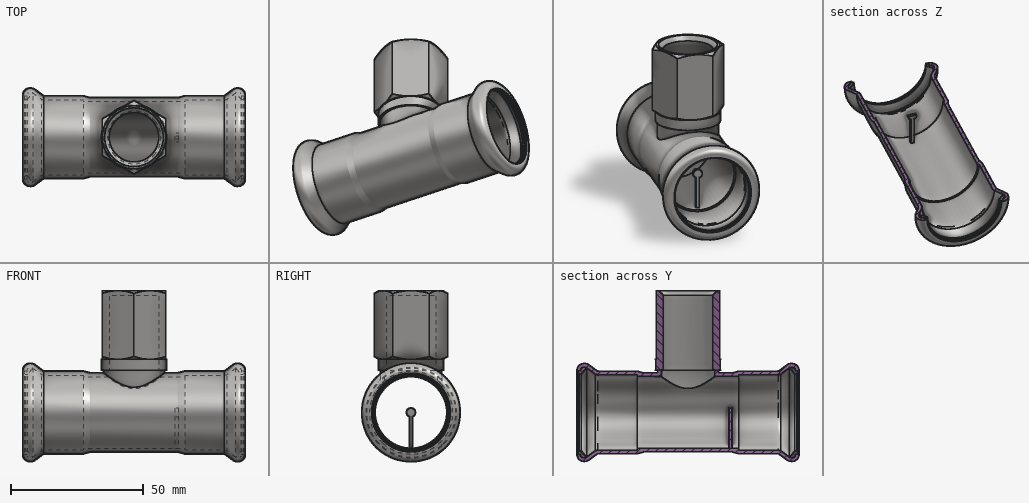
import cadquery as cq
import math

length = 84.0
run_diameter = 30.0
run_bore = 27.0
socket_diameter = 31.3
socket_bore = 28.2
taper_inner_x = 16.6
taper_outer_x = 19.15

bead_start_x = 34.1
bead_radius = 2.9
flare_bore = 28.8
lip_bore = 29.7
lip_thickness = 0.7

seal_land_start_depth = 1.0
seal_land_end_depth = 1.7
seal_bore = 28.8

stub_diameter = 23.2
stub_bore = 20.0
fitting_bottom = 16.0
hex_bottom = 20.0
fitting_top = 45.95
collar_diameter = 24.6
hex_across_flats = 24.0
hex_chamfer_diameter = 23.85
hex_chamfer_height = 1.1
fitting_bore = 18.65
mouth_diameter = 22.1

tab_head_diameter = 3.45
tab_width = 1.3
tab_thickness = 1.3

half_length = length / 2
socket_radius = socket_diameter / 2
bore_radius = socket_bore / 2
flare_radius = flare_bore / 2
seal_radius = seal_bore / 2
wall = socket_radius - bore_radius
bead_x = half_length - bead_radius
bead_r = socket_radius
groove_radius = bead_radius - wall
lip_radius = lip_bore / 2
lip_inner_x = half_length - lip_thickness
flare_angle = math.asin(bead_radius / (bead_x - bead_start_x))
hex_corner_diameter = hex_across_flats / math.cos(math.pi / 6)


def bead_point(radius, angle):
    """Point in the (x, r) half-plane on a circle around the bead centre."""
    return bead_x + radius * math.cos(angle), bead_r + radius * math.sin(angle)


flare_tangent = math.pi / 2 + flare_angle
outer_tangent = bead_point(bead_radius, flare_tangent)
outer_mid = bead_point(bead_radius, flare_tangent / 2)
inner_tangent = bead_point(groove_radius, flare_tangent)
groove_start = bead_point(groove_radius, 0)
inner_mid = bead_point(groove_radius, flare_tangent / 2)

inner_flare_x = inner_tangent[0] - (inner_tangent[1] - flare_radius) / math.tan(flare_angle)


def revolve_about_x(profile):
    return profile.close().revolve(360, (0, 0, 0), (1, 0, 0))


def cylinder_along_run(diameter):
    """Cylinder on the X axis spanning the plain middle of the run."""
    start = cq.Workplane("YZ").workplane(offset=-taper_inner_x)
    return start.circle(diameter / 2).extrude(2 * taper_inner_x)


def make_run_end():
    """The +X end of the run: taper, socket, flare and hollow bead."""
    profile = (
        cq.Workplane("XY")
        .moveTo(taper_inner_x, run_bore / 2)
        .lineTo(taper_inner_x, run_diameter / 2)
        .lineTo(taper_outer_x, socket_radius)
        .lineTo(bead_start_x, socket_radius)
        .lineTo(*outer_tangent)
        .threePointArc(outer_mid, (half_length, bead_r))
        .lineTo(half_length, lip_radius)
        .lineTo(lip_inner_x, lip_radius)
        .lineTo(lip_inner_x, bead_r)
        .lineTo(*groove_start)
        .threePointArc(inner_mid, inner_tangent)
        .lineTo(inner_flare_x, flare_radius)
        .lineTo(bead_start_x, bore_radius)
        .lineTo(taper_outer_x, bore_radius)
        .lineTo(taper_outer_x, run_bore / 2)
    )
    return revolve_about_x(profile)


def make_tab():
    """Thin tab at the +X end of the run bore, with its head on the axis."""
    start = cq.Workplane("YZ").workplane(offset=taper_inner_x - tab_thickness)
    head = start.circle(tab_head_diameter / 2).extrude(tab_thickness)
    stem_length = (run_bore + run_diameter) / 4
    stem = start.center(0, -stem_length / 2).rect(tab_width, stem_length).extrude(tab_thickness)
    return head.union(stem)


def make_tee():
    middle_bore = cylinder_along_run(run_bore)
    stub = cq.Workplane("XY").circle(stub_diameter / 2).extrude(fitting_bottom)
    middle = cylinder_along_run(run_diameter).union(stub).cut(middle_bore)
    run_end = make_run_end()
    run = middle.union(run_end).union(run_end.mirror("YZ"))
    stub_cavity = cq.Workplane("XY").circle(stub_bore / 2).extrude(fitting_bottom)
    return run.cut(stub_cavity).union(make_tab())


def make_seal():
    """Ring seated in the groove of the +X bead, sloping away behind its land."""
    profile = (
        cq.Workplane("XY")
        .moveTo(*inner_tangent)
        .threePointArc(inner_mid, groove_start)
        .lineTo(lip_inner_x, bead_r)
        .lineTo(lip_inner_x, lip_radius)
        .lineTo(half_length - seal_land_start_depth, seal_radius)
        .lineTo(half_length - seal_land_end_depth, seal_radius)
    )
    return revolve_about_x(profile)


def make_fitting():
    """Hexagon with both ends chamfered, a round collar below and a countersunk bore."""
    hexagon = (
        cq.Workplane("XY", origin=(0, 0, hex_bottom))
        .transformed(rotate=(0, 0, 30))
        .polygon(6, hex_corner_diameter)
        .extrude(fitting_top - hex_bottom)
    )
    chamfer_envelope = (
        cq.Workplane("XZ")
        .moveTo(0, hex_bottom)
        .lineTo(hex_chamfer_diameter / 2, hex_bottom)
        .lineTo(hex_corner_diameter / 2, hex_bottom + hex_chamfer_height)
        .lineTo(hex_corner_diameter / 2, fitting_top - hex_chamfer_height)
        .lineTo(hex_chamfer_diameter / 2, fitting_top)
        .lineTo(0, fitting_top)
        .close()
        .revolve(360, (0, 0, 0), (0, 1, 0))
    )
    collar = (
        cq.Workplane("XY", origin=(0, 0, fitting_bottom))
        .circle(collar_diameter / 2)
        .extrude(hex_bottom - fitting_bottom)
    )
    countersink_depth = (mouth_diameter - fitting_bore) / 2
    bore = (
        cq.Workplane("XZ")
        .moveTo(0, fitting_bottom)
        .lineTo(fitting_bore / 2, fitting_bottom)
        .lineTo(fitting_bore / 2, fitting_top - countersink_depth)
        .lineTo(mouth_diameter / 2, fitting_top)
        .lineTo(0, fitting_top)
        .close()
        .revolve(360, (0, 0, 0), (0, 1, 0))
    )
    return hexagon.intersect(chamfer_envelope).union(collar).cut(bore)


tee = make_tee()
fitting = make_fitting()
seals = []
for side_angle in (0, 180):
    seals.append(make_seal().rotate((0, 0, 0), (0, 0, 1), side_angle))

result = cq.Compound.makeCompound([tee.val(), fitting.val(), *[seal.val() for seal in seals]])